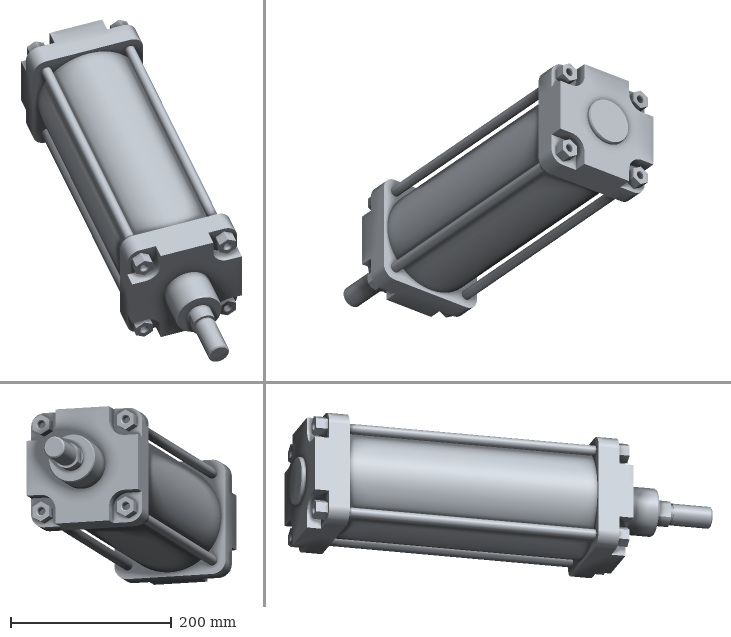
import cadquery as cq
import math

overall_length = 535.0
boss_length = 5.5
head_length = 45.0
barrel_length = 321.0
gland_length = 45.5
rear_head_x = boss_length
barrel_x = rear_head_x + head_length
front_head_x = barrel_x + barrel_length
front_face_x = front_head_x + head_length
gland_end_x = front_face_x + gland_length

head_width = 145.0
corner_radius = 17.0
tie_offset = 55.0
pocket_depth = 18.0
pocket_radius = 20.5
boss_diameter = 60.5
rim_length = 2.0
rim_inset = 1.0

barrel_diameter = 134.5

tie_diameter = 13.0
nut_across_flats = 22.0
nut_recess = 3.0
nut_height = pocket_depth - nut_recess
socket_diameter = 9.5
socket_chamfer = 1.0
socket_depth = 10.5

rod_diameter = 32.0
flats_x = 465.0
flats_end_x = 481.0
across_flats = 27.5
thread_x = 484.0
thread_diameter = 27.5
neck_diameter = 25.0
thread_chamfer = 1.5

tie_positions = [(y, z) for y in (-tie_offset, tie_offset) for z in (-tie_offset, tie_offset)]


def cylinder(start_x, length, diameter, y=0.0, z=0.0):
    """Cylinder along +X, starting at start_x."""
    return cq.Workplane("YZ", origin=(start_x, y, z)).circle(diameter / 2).extrude(length)


def corner_pocket(start_x, y, z):
    """Cutter that opens a corner to both sides, rounded around the tie rod."""
    pocket_width = head_width / 2 - tie_offset + pocket_radius
    middle = head_width / 2 - pocket_width / 2
    block = (
        cq.Workplane("YZ", origin=(start_x, math.copysign(middle, y), math.copysign(middle, z)))
        .rect(pocket_width, pocket_width)
        .extrude(pocket_depth)
    )
    inner_edge = "|X and {}Y and {}Z".format("<" if y > 0 else ">", "<" if z > 0 else ">")
    return block.edges(inner_edge).fillet(pocket_radius)


def make_head(start_x, pocket_x):
    """Square head with rounded corners, four corner pockets and tie rod holes."""
    head = (
        cq.Workplane("YZ", origin=(start_x, 0, 0))
        .rect(head_width, head_width)
        .extrude(head_length)
        .edges("|X")
        .fillet(corner_radius)
    )
    for y, z in tie_positions:
        head = head.cut(corner_pocket(pocket_x, y, z))
        head = head.cut(cylinder(start_x, head_length, tie_diameter, y, z))
    return head


def make_rear_head():
    """Rear head with a round boss on its outer face."""
    boss = cylinder(0, boss_length, boss_diameter).faces("<X").chamfer(rim_length, rim_inset)
    return make_head(rear_head_x, rear_head_x).union(boss)


def make_front_head():
    """Front head with the gland and the piston rod bore."""
    gland = cylinder(front_face_x, gland_length, boss_diameter).faces(">X").chamfer(rim_length, rim_inset)
    bore = cylinder(front_head_x, gland_end_x - front_head_x, rod_diameter)
    return make_head(front_head_x, front_face_x - pocket_depth).union(gland).cut(bore)


def make_barrel():
    """Plain round barrel clamped between the heads."""
    return cylinder(barrel_x, barrel_length, barrel_diameter)


def make_piston_rod():
    """Rod with two wrench flats, a neck and a threaded end of plain diameter."""
    rod = cylinder(front_head_x, flats_end_x - front_head_x, rod_diameter)
    flats_length = flats_end_x - flats_x
    flats_middle = flats_x + flats_length / 2
    for side in (-1, 1):
        cutter_y = side * (across_flats + rod_diameter) / 2
        cutter = cq.Workplane("XY", origin=(flats_middle, cutter_y, 0))
        rod = rod.cut(cutter.box(flats_length, rod_diameter, rod_diameter))
    neck = cylinder(flats_end_x, thread_x - flats_end_x, neck_diameter)
    thread = cylinder(thread_x, overall_length - thread_x, thread_diameter)
    return rod.union(neck).union(thread.faces(">X").chamfer(thread_chamfer))


def make_nut(start_x, y, z):
    """Hexagonal nut with two flats facing +Y and -Y."""
    across_corners = nut_across_flats / math.cos(math.pi / 6)
    return (
        cq.Workplane("YZ", origin=(start_x, y, z))
        .transformed(rotate=(0, 0, 90))
        .polygon(6, across_corners)
        .extrude(nut_height)
    )


def make_tie_rod(y, z):
    """Tie rod with a nut and a chamfered blind hole at each end."""
    rear_nut_x = rear_head_x + nut_recess
    front_nut_x = front_face_x - pocket_depth
    front_end_x = front_nut_x + nut_height
    tie = cylinder(rear_nut_x, front_end_x - rear_nut_x, tie_diameter, y, z)
    tie = tie.union(make_nut(rear_nut_x, y, z)).union(make_nut(front_nut_x, y, z))
    for socket_x in (rear_nut_x, front_end_x - socket_depth):
        tie = tie.cut(cylinder(socket_x, socket_depth, socket_diameter, y, z))
    socket_rims = tie.faces("<X or >X").edges("%CIRCLE")
    return socket_rims.chamfer(socket_chamfer)


rear_head = make_rear_head()
front_head = make_front_head()
barrel = make_barrel()
piston_rod = make_piston_rod()
tie_rods = [make_tie_rod(y, z) for y, z in tie_positions]

result = cq.Compound.makeCompound(
    [rear_head.val(), front_head.val(), barrel.val(), piston_rod.val()] + [tie.val() for tie in tie_rods]
)